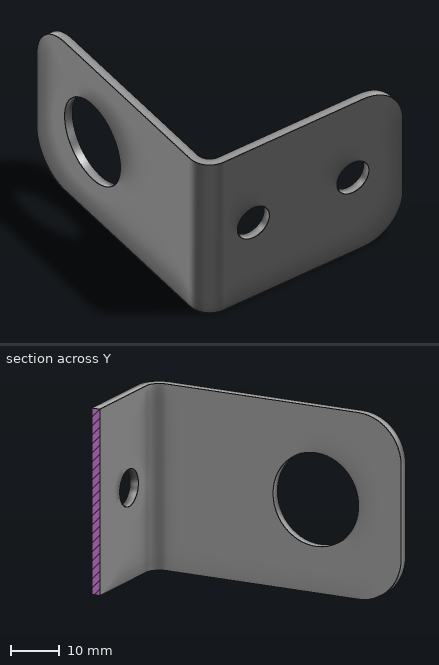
import cadquery as cq

length = 60.0
depth = length * 5 / 6
height = length * 2 / 3

thickness = length / 30
inner_bend_radius = 3.0
outer_bend_radius = inner_bend_radius + thickness

corner_radius = height / 4
large_hole_diameter = height / 2
large_hole_x = large_hole_diameter
small_hole_diameter = height / 5
small_hole_spacing = depth / 2
mid_height = height / 2


def bent_sheet():
    """L-shaped strip of constant thickness, bent at the +X, -Y corner."""
    inner_x = length - thickness
    profile = (
        cq.Workplane("XY")
        .polyline(
            [
                (0, 0),
                (length, 0),
                (length, depth),
                (inner_x, depth),
                (inner_x, thickness),
                (0, thickness),
            ]
        )
        .close()
    )
    sheet = profile.extrude(height)
    outer_edge = cq.selectors.NearestToPointSelector((length, 0, mid_height))
    sheet = sheet.edges(outer_edge).fillet(outer_bend_radius)
    inner_edge = cq.selectors.NearestToPointSelector((inner_x, thickness, mid_height))
    return sheet.edges(inner_edge).fillet(inner_bend_radius)


def round_leg_ends(sheet):
    """Round the upper and lower corners at the free end of each leg."""
    sheet = sheet.faces("<X").edges("|Y").fillet(corner_radius)
    return sheet.faces(">Y").edges("|X").fillet(corner_radius)


def large_hole():
    """Cutter for the hole through the front leg."""
    return (
        cq.Workplane("XZ")
        .center(large_hole_x, mid_height)
        .circle(large_hole_diameter / 2)
        .extrude(-2 * thickness)
    )


def small_holes():
    """Cutter for the pair of holes centred along the side leg."""
    first_y = (depth - small_hole_spacing) / 2
    return (
        cq.Workplane("YZ", origin=(length - 2 * thickness, 0, 0))
        .pushPoints([(first_y, mid_height), (first_y + small_hole_spacing, mid_height)])
        .circle(small_hole_diameter / 2)
        .extrude(2 * thickness)
    )


result = round_leg_ends(bent_sheet()).cut(large_hole()).cut(small_holes())